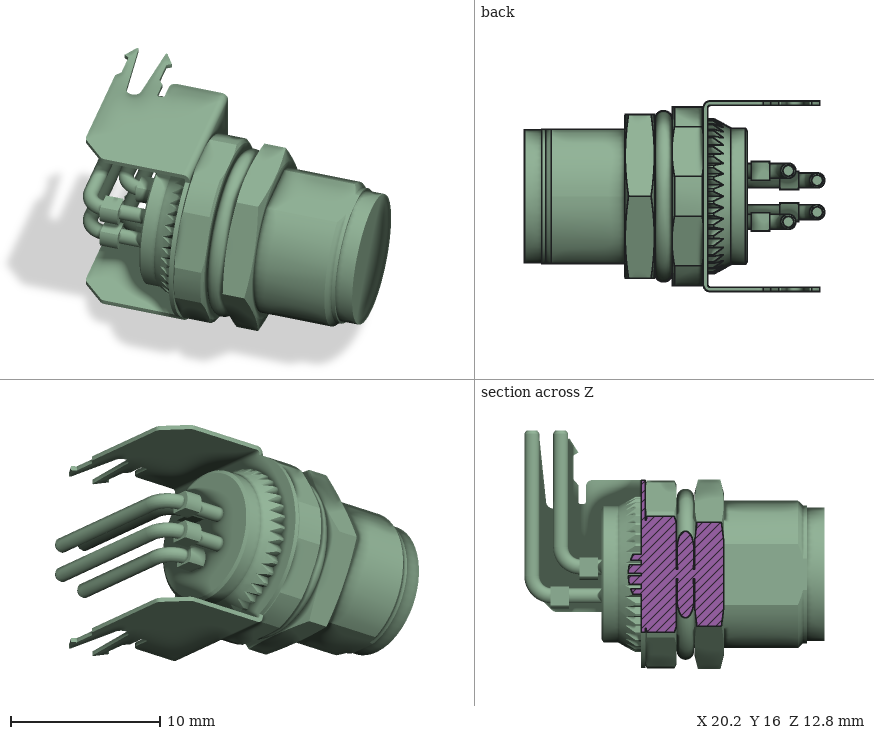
import cadquery as cq
import math


total_length = 20.15
body_back = 5.18
cone_start = 6.29
knurl_start = 7.45
sheet_back = 7.84
sheet_thickness = 0.3
sheet_front = sheet_back + sheet_thickness
flange_front = 10.22
nut_back = 11.4
nut_front = 13.4
barrel_chamfer_start = 18.35
barrel_chamfer_end = 18.7
nose_start = 18.98

body_radius = 4.57
body_chamfer_length = 0.15
body_chamfer_width = 0.22
barrel_radius = 4.95
barrel_shoulder_radius = 4.63
barrel_across_flats = 9.03
nose_radius = 4.47

knurl_radius = 5.22
knurl_root_radius = 4.85
knurl_count = 40
knurl_gap = 0.66

flange_across_flats = 12.0
flange_radius = 6.3
flange_back_radius = 6.13
flange_back_chamfer = 0.08
flange_front_radius = 6.05
flange_front_chamfer = 0.15
ring_tube_radius = 0.58
ring_outer_radius = 5.75
nut_across_flats = 11.0
nut_face_radius = 5.4
nut_corner_chamfer = 0.25

bracket_height = 12.8
bracket_top_y = 6.33
bracket_bottom_y = -2.52
bend_inner_radius = 0.16
tab_back = 0.32
tab_corner_cut = 1.65
tab_corner_fillet = 0.48

clip_half_width = 1.65
clip_center_x = tab_back + clip_half_width
clip_shoulder_y = 5.98
stem_half_width = 1.33
stem_bottom_y = 6.37
stem_top_y = 7.98
barb_y = 8.18
tip_y = 9.1
tip_outer_half_width = 1.1
tip_inner_half_width = 0.95
fork_half_width = 0.52
fork_side_end_y = 4.95
fork_bottom_y = 4.41
relief_width = 0.5
relief_bottom_y = 4.74
relief_bottom_fillet = 0.12
relief_top_fillet = 0.45

pin_diameter = 1
pin_radius = pin_diameter / 2
pin_end_y = 9.65
pin_end_chamfer_length = 0.2
pin_end_chamfer_width = 0.15
pin_bend_radius = 1.33
pin_embed = 0.2
collar_length = 1.25
collar_height = 1.25
collar_top = 0.62
collar_bottom = 0.87
collar_crown = 0.22
collar_bend_overlap = 0.08
pin_pairs = [
    (pin_radius, -1.43, 1.07),
    (2.44, 0.5, 1.71),
]


def axial_cylinder(radius, start, end):
    return cq.Workplane("YZ", origin=(start, 0, 0)).circle(radius).extrude(end - start)


def axial_hexagon(across_flats, start, end):
    """Hexagonal prism along X with flats facing +Z and -Z."""
    across_corners = across_flats / math.cos(math.radians(30))
    return cq.Workplane("YZ", origin=(start, 0, 0)).polygon(6, across_corners).extrude(end - start)


def revolve_about_axis(profile):
    return profile.close().revolve(360, (0, 0, 0), (1, 0, 0))


def make_core():
    """Turned body from the back face to the nose."""
    profile = (
        cq.Workplane("XY")
        .moveTo(body_back, 0)
        .lineTo(body_back, body_radius - body_chamfer_width)
        .lineTo(body_back + body_chamfer_length, body_radius)
        .lineTo(cone_start, body_radius)
        .lineTo(knurl_start, knurl_radius)
        .lineTo(sheet_front, knurl_radius)
        .lineTo(sheet_front, barrel_radius)
        .lineTo(barrel_chamfer_start, barrel_radius)
        .lineTo(barrel_chamfer_end, barrel_shoulder_radius)
        .lineTo(nose_start, barrel_shoulder_radius)
        .lineTo(nose_start, nose_radius)
        .lineTo(total_length, nose_radius)
        .lineTo(total_length, 0)
    )
    return revolve_about_axis(profile)


def cut_knurl(core):
    """V-grooves parallel to the axis, running out through the back cone."""
    depth = knurl_radius - knurl_root_radius
    overshoot = 2
    groove_height = overshoot * depth
    half_gap = overshoot * knurl_gap / 2
    groove = (
        cq.Workplane("YZ", origin=(cone_start, 0, 0))
        .moveTo(knurl_root_radius, 0)
        .lineTo(knurl_root_radius + groove_height, half_gap)
        .lineTo(knurl_root_radius + groove_height, -half_gap)
        .close()
        .extrude(sheet_back - cone_start)
        .val()
    )
    grooves = [groove.rotate((0, 0, 0), (1, 0, 0), i * 360 / knurl_count) for i in range(knurl_count)]
    return cq.Workplane(core.val().cut(*grooves))


def cut_barrel_flats(core):
    """Two flats, facing +Z and -Z, on the barrel ahead of the nut."""
    length = nose_start - nut_front
    slab_height = 2 * flange_radius
    for side in (1, -1):
        slab_z = side * (barrel_across_flats + slab_height) / 2
        slab = cq.Workplane("XY", origin=(nut_front + length / 2, 0, slab_z))
        slab = slab.box(length, slab_height, slab_height)
        core = core.cut(slab)
    return core


def make_flange():
    """Hexagon with its corners turned round and chamfered on both faces."""
    envelope = revolve_about_axis(
        cq.Workplane("XY")
        .moveTo(sheet_front, 0)
        .lineTo(sheet_front, flange_back_radius)
        .lineTo(sheet_front + flange_back_chamfer, flange_radius)
        .lineTo(flange_front - flange_front_chamfer, flange_radius)
        .lineTo(flange_front, flange_front_radius)
        .lineTo(flange_front, 0)
    )
    return axial_hexagon(flange_across_flats, sheet_front, flange_front).intersect(envelope)


def make_ring():
    ring_x = (flange_front + nut_back) / 2
    ring_radius = ring_outer_radius - ring_tube_radius
    section = cq.Workplane("XY").center(ring_x, ring_radius).circle(ring_tube_radius)
    return section.revolve(360, (-0.2, -ring_radius, 0), (0.2, -ring_radius, 0))


def make_nut():
    """Hexagon nut with its corners chamfered on both faces."""
    corner_radius = nut_across_flats / 2 / math.cos(math.radians(30))
    envelope = revolve_about_axis(
        cq.Workplane("XY")
        .moveTo(nut_back, 0)
        .lineTo(nut_back, nut_face_radius)
        .lineTo(nut_back + nut_corner_chamfer, corner_radius)
        .lineTo(nut_front - nut_corner_chamfer, corner_radius)
        .lineTo(nut_front, nut_face_radius)
        .lineTo(nut_front, 0)
    )
    return axial_hexagon(nut_across_flats, nut_back, nut_front).intersect(envelope)


def make_bracket_channel():
    """U-shaped bent sheet, before the tab outline is cut."""
    depth = tip_y - bracket_bottom_y

    def block(height, front, bend_radius):
        solid = cq.Workplane("XY", origin=(front / 2, tip_y - depth / 2, 0)).box(front, depth, height)
        return solid.edges(">X and |Y").fillet(bend_radius)

    outer = block(bracket_height, sheet_front, bend_inner_radius + sheet_thickness)
    inner = block(bracket_height - 2 * sheet_thickness, sheet_back, bend_inner_radius)
    return outer.cut(inner)


def make_tab_outline():
    """Prism with the XY outline of the bracket tabs and their snap-in clips."""

    def clip_x(offset):
        return clip_center_x + offset

    relief_left = clip_x(clip_half_width)
    relief_right = relief_left + relief_width
    tip_crown_half_width = (tip_outer_half_width + tip_inner_half_width) / 2
    tip_side_y = tip_y - (tip_outer_half_width - tip_inner_half_width) / 2
    outline = (
        cq.Workplane("XY", origin=(0, 0, -bracket_height / 2))
        .moveTo(sheet_front, bracket_bottom_y)
        .lineTo(tab_back + tab_corner_cut, bracket_bottom_y)
        .lineTo(tab_back, bracket_bottom_y + tab_corner_cut)
        .lineTo(tab_back, clip_shoulder_y)
        .lineTo(clip_x(-stem_half_width), stem_bottom_y)
        .lineTo(clip_x(-stem_half_width), stem_top_y)
        .lineTo(clip_x(-clip_half_width), barb_y)
        .lineTo(clip_x(-tip_outer_half_width), tip_side_y)
        .threePointArc((clip_x(-tip_crown_half_width), tip_y), (clip_x(-tip_inner_half_width), tip_side_y))
        .lineTo(clip_x(-fork_half_width), fork_side_end_y)
        .threePointArc((clip_center_x, fork_bottom_y), (clip_x(fork_half_width), fork_side_end_y))
        .lineTo(clip_x(tip_inner_half_width), tip_side_y)
        .threePointArc((clip_x(tip_crown_half_width), tip_y), (clip_x(tip_outer_half_width), tip_side_y))
        .lineTo(clip_x(clip_half_width), barb_y)
        .lineTo(clip_x(stem_half_width), stem_top_y)
        .lineTo(clip_x(stem_half_width), stem_bottom_y)
        .lineTo(relief_left, clip_shoulder_y)
        .lineTo(relief_left, relief_bottom_y + relief_bottom_fillet)
        .radiusArc((relief_left + relief_bottom_fillet, relief_bottom_y), -relief_bottom_fillet)
        .lineTo(relief_right - relief_bottom_fillet, relief_bottom_y)
        .radiusArc((relief_right, relief_bottom_y + relief_bottom_fillet), -relief_bottom_fillet)
        .lineTo(relief_right, bracket_top_y - relief_top_fillet)
        .radiusArc((relief_right + relief_top_fillet, bracket_top_y), relief_top_fillet)
        .lineTo(sheet_front, bracket_top_y)
        .close()
    )
    prism = outline.extrude(bracket_height)
    corner_ends = [
        (tab_back, bracket_bottom_y + tab_corner_cut, 0),
        (tab_back + tab_corner_cut, bracket_bottom_y, 0),
    ]
    for corner in corner_ends:
        prism = prism.edges(cq.NearestToPointSelector(corner)).fillet(tab_corner_fillet)
    return prism


def make_bracket():
    """Bent bracket whose upright plate ends in a round lobe behind the flange."""
    disc = axial_cylinder(flange_radius, sheet_back, sheet_front)
    size = 2 * bracket_height
    below_tabs = cq.Workplane("XY", origin=(sheet_back, bracket_bottom_y - size / 2, 0)).box(size, size, size)
    lobe = disc.intersect(below_tabs)
    return make_bracket_channel().intersect(make_tab_outline()).union(lobe)


def make_pin(leg_x, leg_y, z):
    """Round pin: a leg along +Y, a bend and a leg along X into the body."""
    bend_end_x = leg_x + pin_bend_radius
    bend_start_y = leg_y + pin_bend_radius
    middle_offset = pin_bend_radius * (1 - math.cos(math.radians(45)))
    path = (
        cq.Workplane("XY", origin=(0, 0, z))
        .moveTo(body_back + pin_embed, leg_y)
        .lineTo(bend_end_x, leg_y)
        .threePointArc((leg_x + middle_offset, leg_y + middle_offset), (leg_x, bend_start_y))
        .lineTo(leg_x, pin_end_y)
    )
    start = cq.Workplane("YZ", origin=(body_back + pin_embed, leg_y, z))
    pin = start.circle(pin_radius).sweep(path)
    return pin.faces(">Y").chamfer(pin_end_chamfer_length, pin_end_chamfer_width)


def make_pin_collar(leg_x, leg_y, z):
    """Block around the X leg of a pin, rounded on its -Y side."""
    collar_x = leg_x + pin_bend_radius - collar_bend_overlap
    half_height = collar_height / 2
    return (
        cq.Workplane("YZ", origin=(collar_x, leg_y, z))
        .moveTo(collar_top, half_height)
        .lineTo(collar_crown - collar_bottom, half_height)
        .threePointArc((-collar_bottom, 0), (collar_crown - collar_bottom, -half_height))
        .lineTo(collar_top, -half_height)
        .close()
        .extrude(collar_length)
    )


result = cut_barrel_flats(cut_knurl(make_core()))
for piece in (make_flange(), make_ring(), make_nut(), make_bracket()):
    result = result.union(piece)
for leg_x, leg_y, offset in pin_pairs:
    for z in (offset, -offset):
        result = result.union(make_pin(leg_x, leg_y, z)).union(make_pin_collar(leg_x, leg_y, z))